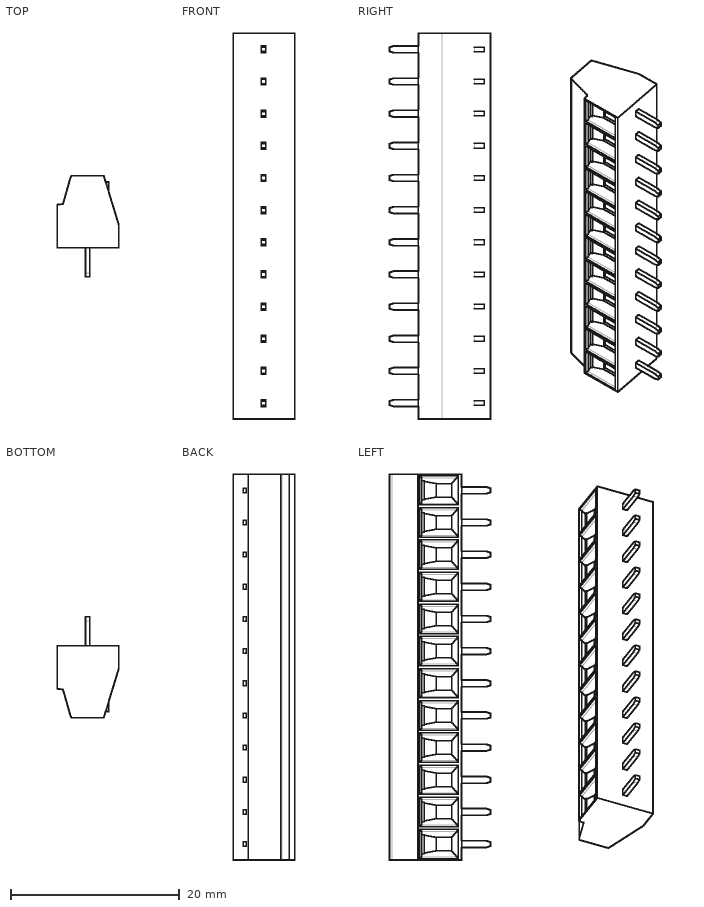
import cadquery as cq

POLE_COUNT = 12
TOTAL_LENGTH = 45.7
PITCH = TOTAL_LENGTH / POLE_COUNT

HOUSING_WIDTH = 7.3
HOUSING_DEPTH = 8.55
ENTRY_FACE_HEIGHT = 5.1
STEP_WIDTH = 0.7
STEP_RISE = 0.1
EAVE_START = 1.55
EAVE_HEIGHT = 8.28
ROOF_START = 1.7
ROOF_END = 5.55
BACK_WALL_HEIGHT = 2.75

RIB_TOP = 7.8
RIB_OUTER = 6.13
RIB_THICKNESS = 0.55
RIB_ROOT = HOUSING_WIDTH / 2

FUNNEL_DEPTH = 1.05
MOUTH_LOW = 0.4
MOUTH_HIGH = 4.95
MOUTH_LENGTH = 3.47
RIM_DEPTH = 0.2
RIM_WIDTH = 0.25
LEDGE_DEPTH = 0.65
LEDGE_LOW = 4.45
RAMP_DEPTH = 0.75
FLOOR_LOW = 1.2
FLOOR_HIGH = 3.0
FLOOR_LENGTH = 1.6
POCKET_DEPTH = 0.3

PIN_LENGTH = 3.45
PIN_WIDTH = 0.55
PIN_THICKNESS = 0.82
PIN_CENTER_X = 3.6
PIN_TIP_LENGTH = 0.5
PIN_TIP_THICKNESS = 0.5


def make_housing():
    """Straight prism along Z with a stepped entry side and two sloping sides."""
    outline = [
        (0, 0),
        (HOUSING_WIDTH, 0),
        (HOUSING_WIDTH, BACK_WALL_HEIGHT),
        (ROOF_END, HOUSING_DEPTH),
        (ROOF_START, HOUSING_DEPTH),
        (EAVE_START, EAVE_HEIGHT),
        (STEP_WIDTH, ENTRY_FACE_HEIGHT + STEP_RISE),
        (0, ENTRY_FACE_HEIGHT),
    ]
    return cq.Workplane("XY").polyline(outline).close().extrude(TOTAL_LENGTH)


def make_rib():
    """Small square-edged rib, centred on Z = 0, rooted inside the housing."""
    width = RIB_OUTER - RIB_ROOT
    height = RIB_TOP - BACK_WALL_HEIGHT
    return (
        cq.Workplane("XY")
        .box(width, height, RIB_THICKNESS, centered=(False, False, True))
        .translate((RIB_ROOT, BACK_WALL_HEIGHT, 0))
    )


def make_funnel():
    """Funnel shape, centred on Z = 0: the overlap of two tapered prisms, plus a straight pocket."""
    mouth_half = MOUTH_LENGTH / 2
    floor_half = FLOOR_LENGTH / 2
    side_profile = [
        (0, MOUTH_LOW),
        (FUNNEL_DEPTH, FLOOR_LOW),
        (FUNNEL_DEPTH, FLOOR_HIGH),
        (RAMP_DEPTH, LEDGE_LOW),
        (LEDGE_DEPTH, LEDGE_LOW),
        (LEDGE_DEPTH, MOUTH_HIGH - RIM_WIDTH),
        (RIM_DEPTH, MOUTH_HIGH - RIM_WIDTH),
        (0, MOUTH_HIGH),
    ]
    end_profile = [
        (0, -mouth_half),
        (RIM_DEPTH, RIM_WIDTH - mouth_half),
        (FUNNEL_DEPTH, -floor_half),
        (FUNNEL_DEPTH, floor_half),
        (RIM_DEPTH, mouth_half - RIM_WIDTH),
        (0, mouth_half),
    ]
    side = cq.Workplane("XY").polyline(side_profile).close().extrude(PITCH / 2, both=True)
    end = cq.Workplane("XZ").polyline(end_profile).close().extrude(-HOUSING_DEPTH)
    pocket = (
        cq.Workplane("XY")
        .box(POCKET_DEPTH, FLOOR_HIGH - FLOOR_LOW, FLOOR_LENGTH, centered=(False, False, True))
        .translate((FUNNEL_DEPTH, FLOOR_LOW, 0))
    )
    return side.intersect(end).union(pocket)


def make_pin():
    """Flat pin with a tapered tip, centred on Z = 0, pointing along -Y."""
    half = PIN_THICKNESS / 2
    tip_half = PIN_TIP_THICKNESS / 2
    taper_start = PIN_TIP_LENGTH - PIN_LENGTH
    outline = [
        (0, -half),
        (taper_start, -half),
        (-PIN_LENGTH, -tip_half),
        (-PIN_LENGTH, tip_half),
        (taper_start, half),
        (0, half),
    ]
    return (
        cq.Workplane("YZ")
        .polyline(outline)
        .close()
        .extrude(PIN_WIDTH / 2, both=True)
        .translate((PIN_CENTER_X, 0, 0))
    )


result = make_housing()
for pole in range(POLE_COUNT):
    center = (0, 0, pole * PITCH + PITCH / 2)
    result = result.cut(make_funnel().translate(center))
    result = result.union(make_rib().translate(center))
    result = result.union(make_pin().translate(center))